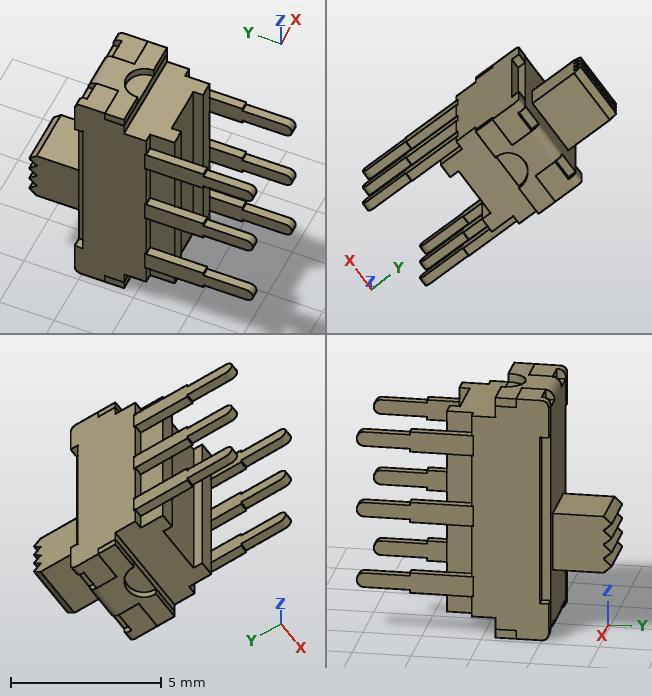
import cadquery as cq


length = 8.5
width = 3.5
lever_reach = 2.0
pin_reach = length - lever_reach

flange_depth = 1.8
end_step = 0.7
shoulder_depth = 2.61
housing_depth = 3.5
corner_radius = 0.25
groove_width = 1.78
groove_depth = 0.35
side_notch_length = 5.88

sheet = 0.3
bend_radius = 0.35
ear_width = 0.35
plate_width = width - 2 * ear_width
leg_width = 1.3
foot_depth = 0.7
foot_front = flange_depth - foot_depth
foot_hole_radius = leg_width / 2

lever_size = 2.0
lever_travel = 2.0
lever_z = -lever_travel / 2
tooth_count = 4
tooth_depth = 0.27
tooth_pitch = lever_size / tooth_count

pin_thickness = 0.32
pin_root_depth = 2.55
pin_shoulder_depth = 4.7
pin_wide = 0.705
pin_narrow = 0.5
pin_pitch = 2.5
core_width = width - 2 * pin_thickness


def block(size_x, front, back, size_z):
    """Block centred on X and Z, spanning the depths front to back behind Y = 0."""
    depth = back - front
    return cq.Workplane("XY").box(size_x, depth, size_z).translate((0, -(front + back) / 2, 0))


def make_lever():
    """Square lever with a toothed tip, starting at the floor of the cover recess."""
    top = lever_z + lever_size / 2
    bottom = lever_z - lever_size / 2
    root = lever_reach - tooth_depth
    points = [(-sheet, top), (root, top)]
    for i in range(tooth_count):
        points.append((lever_reach, top - (i + 0.5) * tooth_pitch))
        points.append((root, top - (i + 1) * tooth_pitch))
    points.append((-sheet, bottom))
    return cq.Workplane("YZ").polyline(points).close().extrude(lever_size / 2, both=True)


def make_cover_inside():
    """Space between the cover legs, rounded along the inside of both bends."""
    inside = block(leg_width, sheet, flange_depth, length - 2 * sheet)
    return inside.edges(">Y and |X").fillet(bend_radius - sheet)


def make_cover(lever):
    """U-shaped sheet: front plate, two bent legs ending in wide feet with half-round holes."""
    legs = block(leg_width, 0, flange_depth, length).edges(">Y and |X").fillet(bend_radius)
    legs = legs.cut(make_cover_inside())

    plate = block(plate_width, 0, sheet, length - 2 * bend_radius)

    feet = block(width, foot_front, flange_depth, length)
    feet = feet.cut(block(width, foot_front, flange_depth, length - 2 * sheet))

    hole_y = -(foot_front + foot_hole_radius)
    holes = (
        cq.Workplane("XY").center(0, hole_y).circle(foot_hole_radius).extrude(length / 2, both=True)
        .union(block(leg_width, -hole_y, flange_depth, length))
    )
    return legs.union(feet).cut(holes).union(plate).cut(lever)


def make_pin(side, z):
    """Flat stepped pin with a fully rounded tip, on side -1 or 1 at height z."""
    half_wide = pin_wide / 2
    half_narrow = pin_narrow / 2
    tip_start = -pin_reach + half_narrow
    inner_x = side * core_width / 2
    return (
        cq.Workplane("YZ")
        .moveTo(-pin_root_depth, half_wide)
        .lineTo(-pin_shoulder_depth, half_wide)
        .lineTo(-pin_shoulder_depth, half_narrow)
        .lineTo(tip_start, half_narrow)
        .threePointArc((-pin_reach, 0), (tip_start, -half_narrow))
        .lineTo(-pin_shoulder_depth, -half_narrow)
        .lineTo(-pin_shoulder_depth, -half_wide)
        .lineTo(-pin_root_depth, -half_wide)
        .close()
        .extrude(side * pin_thickness)
        .translate((inner_x, 0, z))
    )


def make_housing(lever, cover, pins):
    """Stepped housing with the lever, recessed for the cover and the pin ends."""
    body_length = length - 2 * end_step
    housing = block(width, 0, flange_depth, length).edges(">Y and |X").fillet(corner_radius)
    housing = housing.union(block(width, flange_depth, shoulder_depth, body_length))
    housing = housing.union(block(core_width, shoulder_depth, housing_depth, body_length))

    housing = housing.cut(block(groove_width, housing_depth - groove_depth, housing_depth, body_length))

    housing = housing.cut(block(plate_width, 0, sheet, length))
    housing = housing.cut(block(width, 0, sheet, side_notch_length))

    leg_slots = block(leg_width, 0, flange_depth, length).cut(make_cover_inside())
    housing = housing.cut(leg_slots).cut(cover)

    for pin in pins:
        housing = housing.cut(pin)
    return housing.union(lever)


lever = make_lever()
cover = make_cover(lever)
pins = [make_pin(side, row * pin_pitch) for side in (-1, 1) for row in (-1, 0, 1)]
housing = make_housing(lever, cover, pins)

result = cq.Compound.makeCompound([housing.val(), cover.val(), *[pin.val() for pin in pins]])